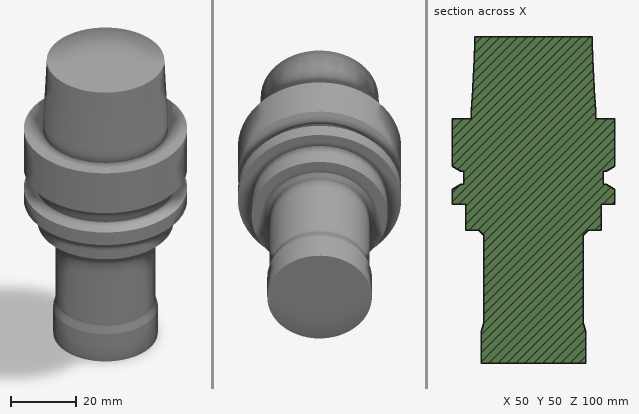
import cadquery as cq

total_height = 100.0

foot_diameter = 32.0
shank_diameter = 30.5
collar_diameter = 41.6
flange_diameter = 50.0
groove_diameter = 43.0
bevel_inner_diameter = 44.6
taper_base_diameter = 38.3
taper_top_diameter = 36.0

foot_height = 10.0
foot_cone_height = 2.7
shank_flare = 1.5
collar_height = 8.0
lower_rim_height = 4.6
bevel_height = 1.6
groove_floor_width = 3.9
upper_flange_height = 14.6
taper_height = 25.0
taper_land_height = 1.8

flange_top_z = total_height - taper_height
groove_top_z = flange_top_z - upper_flange_height - bevel_height
groove_bottom_z = groove_top_z - groove_floor_width
lower_rim_top_z = groove_bottom_z - bevel_height
collar_top_z = lower_rim_top_z - lower_rim_height
collar_bottom_z = collar_top_z - collar_height

foot_cone_top_z = foot_height + foot_cone_height
flare_bottom_z = collar_bottom_z - shank_flare


def frustum(bottom_diameter, top_diameter, bottom_z, top_z):
    """Solid of revolution with a straight flank between two levels."""
    return (
        cq.Workplane("XZ")
        .moveTo(0, bottom_z)
        .lineTo(bottom_diameter / 2, bottom_z)
        .lineTo(top_diameter / 2, top_z)
        .lineTo(0, top_z)
        .close()
        .revolve(360, (0, 0, 0), (0, 1, 0))
    )


def cylinder(diameter, bottom_z, top_z):
    return frustum(diameter, diameter, bottom_z, top_z)


def make_shank():
    """Foot, cone up to the slimmer shank, and 45 degree flare under the collar."""
    flare_diameter = shank_diameter + 2 * shank_flare
    return (
        cylinder(foot_diameter, 0, foot_height)
        .union(frustum(foot_diameter, shank_diameter, foot_height, foot_cone_top_z))
        .union(cylinder(shank_diameter, foot_cone_top_z, flare_bottom_z))
        .union(frustum(shank_diameter, flare_diameter, flare_bottom_z, collar_bottom_z))
    )


def make_flange():
    """Collar and flange with a bevelled gripper groove."""
    groove_mouth_z = groove_top_z + bevel_height
    return (
        cylinder(collar_diameter, collar_bottom_z, collar_top_z)
        .union(cylinder(flange_diameter, collar_top_z, lower_rim_top_z))
        .union(frustum(flange_diameter, bevel_inner_diameter, lower_rim_top_z, groove_bottom_z))
        .union(cylinder(groove_diameter, groove_bottom_z, groove_top_z))
        .union(frustum(bevel_inner_diameter, flange_diameter, groove_top_z, groove_mouth_z))
        .union(cylinder(flange_diameter, groove_mouth_z, flange_top_z))
    )


def make_taper():
    """Clamping taper above a short cylindrical land."""
    land_top_z = flange_top_z + taper_land_height
    return cylinder(taper_base_diameter, flange_top_z, land_top_z).union(
        frustum(taper_base_diameter, taper_top_diameter, land_top_z, total_height)
    )


result = make_shank().union(make_flange()).union(make_taper())